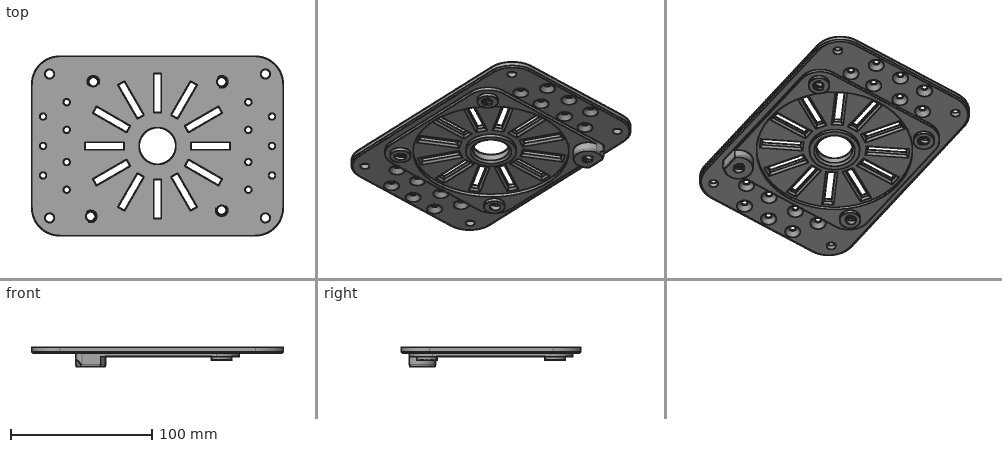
import cadquery as cq
import math

plate_length = 177.8
plate_width = 127.0
plate_thickness = 4.3
plate_corner_radius = 20.0
plate_chamfer = 1.0

backing_half = 57.8
backing_thickness = 2.5
backing_corner_radius = 16.2
backing_tight_radius = 4.3
backing_opening_radius = 55.1
backing_bottom = -(plate_thickness + backing_thickness)

boss_offset = 45.3
boss_diameter = 14.5
boss_height = 2.5
boss_bottom = backing_bottom - boss_height
boss_bottom_to_plate = boss_height + backing_thickness
boss_centers = [(boss_offset, boss_offset), (-boss_offset, boss_offset), (boss_offset, -boss_offset)]

total_height = 13.9
foot_center = (-47.3, -49.8)
foot_radius = 10.7
foot_bevel_height = 1.8
foot_bevel_inset = 0.5
foot_bottom = -total_height
foot_height = backing_bottom - foot_bottom
foot_bevel_angle = math.degrees(math.atan2(foot_bevel_inset, foot_bevel_height))

thread_minor_radius = 3.2
thread_major_radius = 4.3
thread_pitch = 7.5
groove_root_width = 4.0
groove_mouth_width = 5.9
groove_overlap = 0.2

threaded_holes = [
    (boss_centers[0], boss_bottom, 20),
    (boss_centers[1], boss_bottom, 110),
    (boss_centers[2], boss_bottom, -70),
    (foot_center, foot_bottom, 20),
]

center_hole_diameter = 25.8
hub_diameter = 35.5
slot_count = 12
slot_inner_radius = 23.8
slot_outer_radius = 51.2
slot_width = 5.2
opening_flare = 1.6

corner_hole_inset = 12.6
corner_hole_diameter = 6.4
small_hole_diameter = 4.5
countersink_depth = 3.2
outer_row_x = 80.9
outer_row_y = (-20.8, 0.0, 20.8)
inner_row_x = 64.2
inner_row_y = (-31.0, -11.4, 11.4, 31.0)


def sketch_at(z):
    return cq.Workplane("XY").workplane(offset=z)


def make_plate():
    """Rounded plate with its lower rim chamfered."""
    plate = sketch_at(-plate_thickness).rect(plate_length, plate_width).extrude(plate_thickness)
    plate = plate.edges("|Z").fillet(plate_corner_radius)
    return plate.faces("<Z").chamfer(plate_chamfer)


def cut_corner_holes(plate):
    x = plate_length / 2 - corner_hole_inset
    y = plate_width / 2 - corner_hole_inset
    points = [(x, y), (-x, y), (-x, -y), (x, -y)]
    base = sketch_at(-plate_thickness).pushPoints(points)
    return plate.cut(base.circle(corner_hole_diameter / 2).extrude(plate_thickness))


def cut_small_holes(plate):
    """Straight holes with a 45 degree countersink on the underside."""
    points = [(side * outer_row_x, y) for side in (-1, 1) for y in outer_row_y]
    points += [(side * inner_row_x, y) for side in (-1, 1) for y in inner_row_y]
    radius = small_hole_diameter / 2
    base = sketch_at(-plate_thickness).pushPoints(points)
    plate = plate.cut(base.circle(radius).extrude(plate_thickness))
    return plate.cut(base.circle(radius + countersink_depth).extrude(countersink_depth, taper=45))


def cut_slots(plate):
    """Radial slots, flared at 45 degrees on the underside."""
    length = slot_outer_radius - slot_inner_radius
    middle = (slot_outer_radius + slot_inner_radius) / 2
    base = sketch_at(-plate_thickness).polarArray(middle, 0, 360, slot_count)
    plate = plate.cut(base.rect(length, slot_width).extrude(plate_thickness))
    flare_length = length + 2 * opening_flare
    flare_width = slot_width + 2 * opening_flare
    return plate.cut(base.rect(flare_length, flare_width).extrude(opening_flare, taper=45))


def backing_prism(bottom, height):
    """Backing outline: three wide corners and a tight one at -X -Y."""
    side = 2 * backing_half
    prism = sketch_at(bottom).rect(side, side).extrude(height)
    prism = prism.edges("|Z and (>X or >Y)").fillet(backing_corner_radius)
    return prism.edges("|Z and <(1, 1, 0)").fillet(backing_tight_radius)


def make_backing():
    opening = sketch_at(backing_bottom).circle(backing_opening_radius).extrude(backing_thickness)
    return backing_prism(backing_bottom, backing_thickness).cut(opening)


def make_hub():
    """Collar that deepens the central opening to the level of the backing frame."""
    return sketch_at(backing_bottom).circle(hub_diameter / 2).extrude(backing_thickness)


def cut_center_hole(part):
    """Central opening through plate and hub, flared at its lower end."""
    radius = center_hole_diameter / 2
    base = sketch_at(backing_bottom)
    part = part.cut(base.circle(radius).extrude(-backing_bottom))
    return part.cut(base.circle(radius + opening_flare).extrude(opening_flare, taper=45))


def make_bosses():
    base = sketch_at(boss_bottom).pushPoints(boss_centers)
    return base.circle(boss_diameter / 2).extrude(boss_bottom_to_plate)


def make_foot():
    """Cylinder filled out to the backing corner, with a steep bevel round its bottom edge."""
    center_x, center_y = foot_center
    base = sketch_at(foot_bottom)
    cylinder = base.center(center_x, center_y).circle(foot_radius).extrude(foot_height)
    corner_fill = (
        base.moveTo(center_x, center_y)
        .lineTo(-backing_half, center_y)
        .lineTo(-backing_half, -backing_half)
        .lineTo(center_x, -backing_half)
        .close()
        .extrude(foot_height)
    )
    foot = cylinder.union(corner_fill).intersect(backing_prism(foot_bottom, foot_height))

    bevel_radius = foot_radius - foot_bevel_inset
    bevel_cone = base.center(center_x, center_y).circle(bevel_radius)
    bevel_cone = bevel_cone.extrude(foot_height, taper=-foot_bevel_angle)
    bevel_side = 2 * (backing_half - foot_bevel_inset)
    bevel_flats = base.rect(bevel_side, bevel_side).extrude(foot_height, taper=-foot_bevel_angle)
    return foot.intersect(bevel_cone).intersect(bevel_flats)


def make_thread_cutter(center, bottom, top_angle):
    """Bore with a helical groove that runs out of both ends of the hole."""
    turns_below = math.ceil(-bottom / thread_pitch) + 1
    start = -turns_below * thread_pitch
    length = thread_pitch - start
    root_half = groove_root_width / 2
    mouth_half = groove_mouth_width / 2
    inner_radius = thread_minor_radius - groove_overlap
    helix = cq.Wire.makeHelix(thread_pitch, length, thread_minor_radius)
    groove = (
        cq.Workplane("XZ")
        .moveTo(inner_radius, -mouth_half)
        .lineTo(thread_major_radius, -root_half)
        .lineTo(thread_major_radius, root_half)
        .lineTo(inner_radius, mouth_half)
        .close()
        .sweep(cq.Workplane(helix), isFrenet=True)
    )
    bore = cq.Workplane("XY").circle(thread_minor_radius).extrude(length)
    cutter = bore.union(groove).rotate((0, 0, 0), (0, 0, 1), top_angle)
    return cutter.translate((center[0], center[1], start))


plate = make_plate()
plate = cut_corner_holes(plate)
plate = cut_small_holes(plate)
plate = cut_slots(plate)
result = plate.union(make_backing()).union(make_hub()).union(make_bosses()).union(make_foot())
result = cut_center_hole(result)
for hole_center, hole_bottom, groove_angle in threaded_holes:
    result = result.cut(make_thread_cutter(hole_center, hole_bottom, groove_angle))